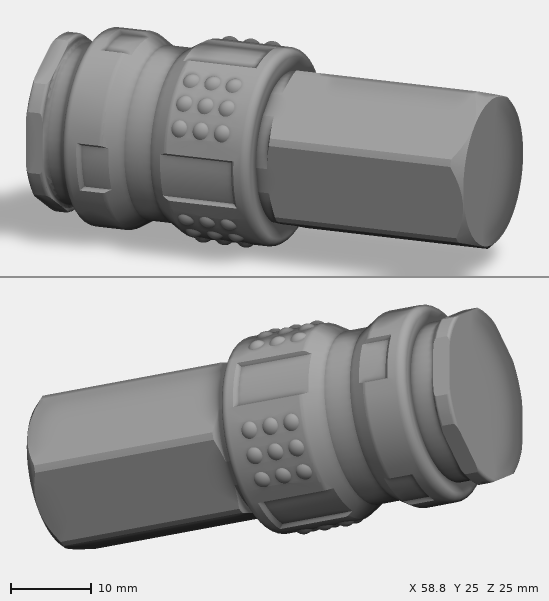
import cadquery as cq
import math

TOTAL_LENGTH = 58.8

FLANGE_RADIUS = 11.3
FLANGE_ACROSS_FLATS = 21.15
FLANGE_LENGTH = 2.25
FLANGE_EDGE_FILLET = 0.4
SHANK_RADIUS = 20.3 / 2
SHANK_ROOT_FILLET = 0.5

HEX_ACROSS_FLATS = 19.0
HEX_CORNER_RADIUS = 10.7
HEX_TURN = 11.0
HEX_START = 32.3
HEX_LEAD_LENGTH = 0.5
HEX_NECK_RADIUS = 9.65
HEX_END_RADIUS = 9.4
HEX_END_CHAMFER = 1.4

SLEEVE_START = 5.5
SLEEVE_END = 30.8
SLEEVE_RADIUS = 25.0 / 2
SLEEVE_FILLET = 1.0
WAIST_RADIUS = 22.0 / 2
WAIST_START = 13.5
WAIST_END = 17.05
WAIST_SLOPE = 30.0

PATTERN_TURN = 9.6
PATTERN_COUNT = 4
POCKET_DEPTH = 0.5
POCKET_HALF_ANGLE = 15.0
FRONT_POCKET_START = 7.65
REAR_POCKET_END = 28.9
BUMP_HEIGHT = 0.5
BUMP_SPHERE_RADIUS = 1.35
BUMP_FIRST_X = 21.3
BUMP_PITCH_X = 2.9
BUMP_PITCH_ANGLE = 15.0
BUMP_ROWS = 3

X_AXIS = (cq.Vector(0, 0, 0), cq.Vector(1, 0, 0))


def turned(profile):
    """Revolve a closed (x, radius) profile about the X axis."""
    return profile.close().revolve(360, (0, 0), (1, 0))


def about_axis(shape, angle):
    """Turn a shape about the X axis."""
    return shape.rotate(*X_AXIS, angle)


def hex_bar(across_flats, start, end, turn):
    """Hexagonal bar along X with one corner toward +Z, then turned about X."""
    bar = (
        cq.Workplane("YZ", origin=(start, 0, 0))
        .polygon(6, across_flats, circumscribed=True)
        .extrude(end - start)
    )
    return about_axis(bar, turn)


def make_flange():
    rounded = FLANGE_EDGE_FILLET
    root = SHANK_ROOT_FILLET
    body = turned(
        cq.Workplane("XY")
        .lineTo(0, FLANGE_RADIUS - rounded)
        .radiusArc((rounded, FLANGE_RADIUS), rounded)
        .lineTo(FLANGE_LENGTH - rounded, FLANGE_RADIUS)
        .radiusArc((FLANGE_LENGTH, FLANGE_RADIUS - rounded), rounded)
        .lineTo(FLANGE_LENGTH, SHANK_RADIUS + root)
        .radiusArc((FLANGE_LENGTH + root, SHANK_RADIUS), -root)
        .lineTo(FLANGE_LENGTH + root, 0)
    )
    return body.intersect(hex_bar(FLANGE_ACROSS_FLATS, 0, SLEEVE_START, 0))


def make_shank():
    start = FLANGE_LENGTH + SHANK_ROOT_FILLET
    return cq.Workplane("YZ", origin=(start, 0, 0)).circle(SHANK_RADIUS).extrude(SLEEVE_END - start)


def make_rear_hexagon():
    body = turned(
        cq.Workplane("XY")
        .moveTo(SLEEVE_END, 0)
        .lineTo(SLEEVE_END, HEX_NECK_RADIUS)
        .lineTo(HEX_START, HEX_NECK_RADIUS)
        .lineTo(HEX_START + HEX_LEAD_LENGTH, HEX_CORNER_RADIUS)
        .lineTo(TOTAL_LENGTH - HEX_END_CHAMFER, HEX_CORNER_RADIUS)
        .lineTo(TOTAL_LENGTH, HEX_END_RADIUS)
        .lineTo(TOTAL_LENGTH, 0)
    )
    return body.intersect(hex_bar(HEX_ACROSS_FLATS, SLEEVE_END, TOTAL_LENGTH, HEX_TURN))


def make_core():
    return make_flange().union(make_shank()).union(make_rear_hexagon())


def make_sleeve_blank():
    """Waisted tube whose bore fits the shank."""
    rounded = SLEEVE_FILLET
    slope = math.radians(WAIST_SLOPE)
    slope_length = (SLEEVE_RADIUS - WAIST_RADIUS) / math.tan(slope)
    reach = rounded * math.tan(slope / 2)
    reach_x = reach * math.cos(slope)
    shoulder_radius = SLEEVE_RADIUS - reach * math.sin(slope)
    front_corner = WAIST_START - slope_length
    rear_corner = WAIST_END + slope_length
    return turned(
        cq.Workplane("XY")
        .moveTo(SLEEVE_START, SHANK_RADIUS)
        .lineTo(SLEEVE_START, SLEEVE_RADIUS - rounded)
        .radiusArc((SLEEVE_START + rounded, SLEEVE_RADIUS), rounded)
        .lineTo(front_corner - reach, SLEEVE_RADIUS)
        .radiusArc((front_corner + reach_x, shoulder_radius), rounded)
        .lineTo(WAIST_START, WAIST_RADIUS)
        .lineTo(WAIST_END, WAIST_RADIUS)
        .lineTo(rear_corner - reach_x, shoulder_radius)
        .radiusArc((rear_corner + reach, SLEEVE_RADIUS), rounded)
        .lineTo(SLEEVE_END - rounded, SLEEVE_RADIUS)
        .radiusArc((SLEEVE_END, SLEEVE_RADIUS - rounded), rounded)
        .lineTo(SLEEVE_END, SHANK_RADIUS)
    )


def make_pocket_pair():
    """Cutter at +Z for a front and a rear pocket with 45 degree walls, both open to the waist."""
    floor = SLEEVE_RADIUS - POCKET_DEPTH
    clear = SLEEVE_RADIUS + POCKET_DEPTH
    ring = turned(
        cq.Workplane("XY")
        .moveTo(FRONT_POCKET_START + POCKET_DEPTH, floor)
        .lineTo(FRONT_POCKET_START - POCKET_DEPTH, clear)
        .lineTo(REAR_POCKET_END + POCKET_DEPTH, clear)
        .lineTo(REAR_POCKET_END - POCKET_DEPTH, floor)
    )
    rim_y = SLEEVE_RADIUS * math.sin(math.radians(POCKET_HALF_ANGLE))
    rim_z = SLEEVE_RADIUS * math.cos(math.radians(POCKET_HALF_ANGLE))
    apex_z = rim_z - rim_y
    top_y = clear - apex_z
    wedge = (
        cq.Workplane("YZ")
        .moveTo(0, apex_z)
        .lineTo(top_y, clear)
        .lineTo(-top_y, clear)
        .close()
        .extrude(TOTAL_LENGTH)
    )
    return ring.intersect(wedge)


def bump_positions():
    """(x, angle) of every bump in one group, which is centred between two pockets."""
    middle = (BUMP_ROWS - 1) / 2
    group_angle = 180 / PATTERN_COUNT
    return [
        (BUMP_FIRST_X + column * BUMP_PITCH_X, group_angle + (row - middle) * BUMP_PITCH_ANGLE)
        for column in range(BUMP_ROWS)
        for row in range(BUMP_ROWS)
    ]


def make_bump(x, angle):
    """Ball sunk into the rear band, standing out by the bump height."""
    centre_radius = SLEEVE_RADIUS + BUMP_HEIGHT - BUMP_SPHERE_RADIUS
    ball = cq.Workplane("XY", origin=(x, 0, centre_radius)).sphere(BUMP_SPHERE_RADIUS, direct=(1, 0, 0))
    return about_axis(ball, angle)


def make_sleeve():
    sleeve = make_sleeve_blank()
    pocket_pair = make_pocket_pair()
    for index in range(PATTERN_COUNT):
        turn = PATTERN_TURN + index * 360 / PATTERN_COUNT
        sleeve = sleeve.cut(about_axis(pocket_pair, turn))
        for x, angle in bump_positions():
            sleeve = sleeve.union(make_bump(x, turn + angle))
    return sleeve


core = make_core()
sleeve = make_sleeve()

result = cq.Compound.makeCompound([core.val(), sleeve.val()])